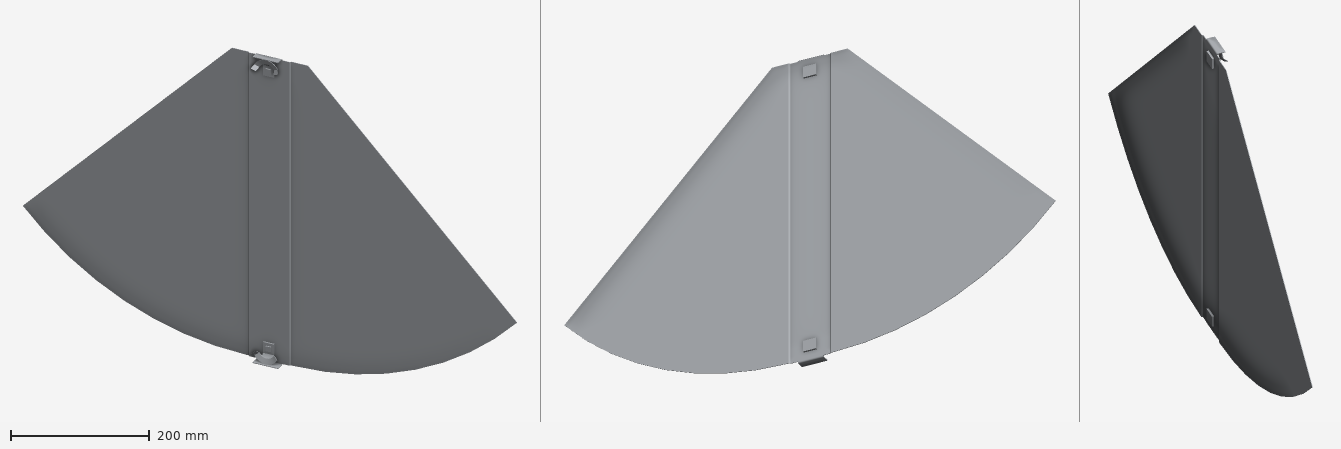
import cadquery as cq
import math


span = 798.0
overall_depth = 21.5
overall_height = 499.0
end_turns = (0, 180)

sheet = 1.0
tab_overhang = 2.0
wing_setback = 2.0
strip_half_width = 33.0
wing_inner_x = 34.0
top_half_width = 61.5
edge_z = overall_height / 2 - tab_overhang
wing_tip_x = span / 2
wing_tip_z = edge_z - (wing_tip_x - top_half_width)
strip_front = -sheet

arc_radius = 2 * edge_z
arc_center_x = wing_tip_x - math.sqrt(arc_radius**2 - (edge_z - wing_tip_z) ** 2)

tab_width = 41.5
tab_reach = 13.5

rivet_z = 226.0
head_width = 21.5
head_height = 17.5
head_thickness = 3.35
shank_side = 8.0
shank_stand_out = 2.0

base_side = 17.5
base_thickness = 2.0
base_front = strip_front - base_thickness
dish_inner_radius = 13.5
dish_outer_radius = 21.5
dish_slope = 19.0
dish_right_angle = 30.0
dish_left_angle = 150.0
dish_inner_rise = 5.5
dish_inner_front = base_front - dish_inner_rise
dish_outer_rise = (dish_outer_radius - dish_inner_radius) * math.tan(math.radians(dish_slope))
dish_outer_front = dish_inner_front - dish_outer_rise
tip_length = 5.2
tip_front = head_thickness - overall_depth
tip_rise = dish_outer_front - tip_front


def centered_box(width, height, rear, front, z=0.0):
    """Box centred on X = 0 and on the given Z, between two Y positions."""
    return cq.Workplane("XY").box(width, rear - front, height).translate((0, (rear + front) / 2, z))


def on_arc(angle):
    """Point of the right wing's curved edge, at an angle below the +X direction."""
    x = arc_center_x + arc_radius * math.cos(angle)
    z = edge_z - arc_radius * math.sin(angle)
    return (x, z)


def make_folded_sheet():
    """Strip and wings, with the sloping steps between them, before trimming to the fan."""
    rear = [
        (-wing_tip_x, wing_setback),
        (-wing_inner_x, wing_setback),
        (-strip_half_width, 0),
        (strip_half_width, 0),
        (wing_inner_x, wing_setback),
        (wing_tip_x, wing_setback),
    ]
    front = [(x, y - sheet) for x, y in reversed(rear)]
    return cq.Workplane("XY").polyline(rear + front).close().extrude(edge_z, both=True)


def make_fan_prism():
    """Fan outline, deep enough in Y to trim the folded sheet."""
    tip_angle = math.asin((edge_z - wing_tip_z) / arc_radius)
    middle_x, middle_z = on_arc((tip_angle + math.pi / 2) / 2)
    return (
        cq.Workplane("XZ")
        .moveTo(-top_half_width, edge_z)
        .lineTo(top_half_width, edge_z)
        .lineTo(wing_tip_x, wing_tip_z)
        .threePointArc((middle_x, middle_z), (arc_center_x, -edge_z))
        .lineTo(-arc_center_x, -edge_z)
        .threePointArc((-middle_x, middle_z), (-wing_tip_x, wing_tip_z))
        .close()
        .extrude(overall_depth, both=True)
    )


def make_tab():
    """Tab at the top end of the strip: a quarter bend followed by a flat flange."""
    outer = tab_overhang
    inner = tab_overhang - sheet
    diagonal = math.sqrt(0.5)
    return (
        cq.Workplane("YZ")
        .moveTo(0, edge_z)
        .threePointArc((-outer + outer * diagonal, edge_z + outer * diagonal), (-outer, edge_z + outer))
        .lineTo(-tab_reach, edge_z + outer)
        .lineTo(-tab_reach, edge_z + inner)
        .lineTo(-outer, edge_z + inner)
        .threePointArc((-outer + inner * diagonal, edge_z + inner * diagonal), (strip_front, edge_z))
        .close()
        .extrude(tab_width / 2, both=True)
    )


def turned_to_end(body, turn):
    """Body made at the top end of the cover, turned about the Y axis to its own end."""
    return body.rotate((0, 0, 0), (0, 1, 0), turn)


def make_shank(rear):
    """Square rivet shank, from the given Y position to its free end in front of the latch."""
    return centered_box(shank_side, shank_side, rear, base_front - shank_stand_out, rivet_z)


def make_cover():
    """Fan sheet with its two tabs and the square rivet holes."""
    cover = make_folded_sheet().intersect(make_fan_prism())
    for turn in end_turns:
        cover = cover.union(turned_to_end(make_tab(), turn))
        cover = cover.cut(turned_to_end(make_shank(head_thickness), turn))
    return cover


def make_rivet():
    """Top rivet: rectangular head behind the strip and a square shank through it."""
    head = centered_box(head_width, head_height, head_thickness, 0, rivet_z)
    return head.union(make_shank(head_thickness))


def make_dish_section():
    """Sloping cross-section of the dish in the XY plane, with X as the radius."""
    return cq.Workplane("XY").polyline([
        (dish_inner_radius, dish_inner_front),
        (dish_outer_radius, dish_outer_front),
        (dish_outer_radius, dish_outer_front + sheet),
        (dish_inner_radius, dish_inner_front + sheet),
    ]).close()


def make_dish():
    """Ring sector about the Y axis, with its ends carried on as raised straight tips."""
    sweep = dish_left_angle - dish_right_angle
    dish = (
        make_dish_section()
        .revolve(sweep, (0, 0, 0), (0, -1, 0))
        .rotate((0, 0, 0), (0, 1, 0), -dish_right_angle)
    )
    for angle, direction in ((dish_right_angle, -1), (dish_left_angle, 1)):
        section = cq.Face.makeFromWires(make_dish_section().wire().val())
        section = section.rotate(cq.Vector(0, 0, 0), cq.Vector(0, 1, 0), -angle)
        along_x = -direction * tip_length * math.sin(math.radians(angle))
        along_z = direction * tip_length * math.cos(math.radians(angle))
        tip = cq.Solid.extrudeLinear(section, cq.Vector(along_x, -tip_rise, along_z))
        dish = dish.union(cq.Workplane(tip))
    return dish


def make_arm():
    """Sloping plate from the top edge of the base to the inner edge of the dish."""
    base_top = base_side / 2
    arm_top = dish_inner_radius + sheet
    return (
        cq.Workplane("YZ")
        .polyline([
            (base_front, base_top),
            (dish_inner_front, arm_top),
            (dish_inner_front + sheet, arm_top),
            (base_front + base_thickness, base_top),
            (base_front + base_thickness, base_top - sheet),
            (base_front, base_top - sheet),
        ])
        .close()
        .extrude(base_side / 2, both=True)
    )


def make_latch():
    """Top latch, pierced by the square hole for the rivet shank."""
    base = centered_box(base_side, base_side, strip_front, base_front)
    latch = base.union(make_arm()).union(make_dish()).translate((0, 0, rivet_z))
    return latch.cut(make_shank(head_thickness))


cover = make_cover()
latches = []
rivets = []
for turn in end_turns:
    latches.append(turned_to_end(make_latch(), turn))
    rivets.append(turned_to_end(make_rivet(), turn))

result = cq.Compound.makeCompound([body.val() for body in (cover, *latches, *rivets)])